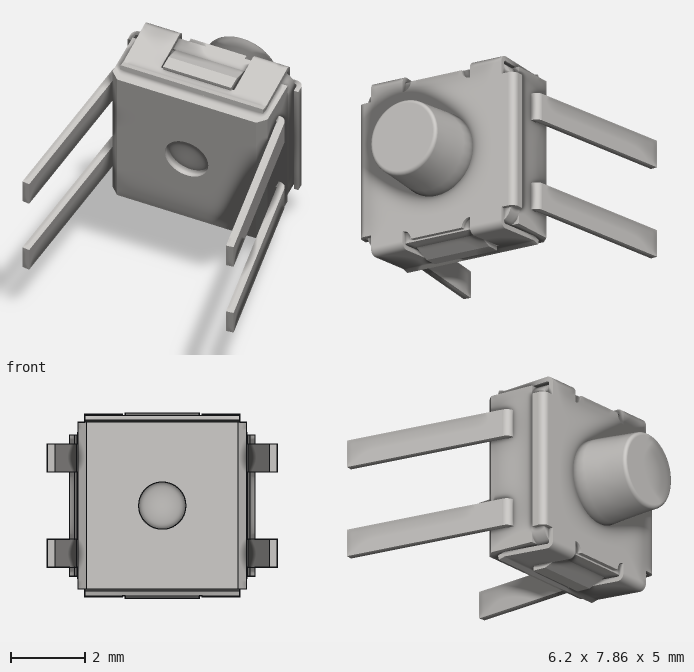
import cadquery as cq
import math


quarter_arc_mid = math.sqrt(0.5)

overall_length = 7.86

button_height = 1.66
button_base_diameter = 2.365
button_top_diameter = 2.115
button_edge_radius = 0.1

sheet_thickness = 0.13
bend_radius = 0.2
bend_inner_radius = bend_radius - sheet_thickness

wing_span = 5.01
wing_width = 3.82
wing_depth = 0.385

clip_span = 4.94
clip_width = 4.19
clip_lean = math.radians(3.5)
lip_flare = math.radians(15)
lip_start = 1.6
lip_bend_radius = 0.14
lip_end = 1.855

window_width = 2.15
window_end = 1.43
window_floor = 2.255
relief_radius = 0.26

collar_gap = 0.015
collar_front = sheet_thickness + collar_gap
collar_size = 4.59
collar_corner_radius = 0.45
body_front = 0.58
body_back = 2.185
body_width = 4.55
body_height = 4.495
body_chamfer = 0.235
recess_diameter = 1.27
recess_depth = 0.25

latch_width = 2.005
latch_ramp_end = 1.085
latch_end = 1.48
latch_top = 2.5

leg_width = 0.76
leg_thickness = 0.21
leg_pitch = 2.56
leg_bend_start = 1.19
leg_bend_end = leg_bend_start + leg_thickness
leg_tip = overall_length - button_height
leg_tip_span = 6.2
leg_root_x = 2.31


def make_block(width, height, front, back):
    """Block centred on the Y axis between two distances behind the cover front."""
    block = cq.Workplane("XY").box(width, back - front, height)
    return block.translate((0, -(front + back) / 2, 0))


def mirrored_pair(solid, plane):
    return solid.union(solid.mirror(plane))


def make_button():
    half_base = button_base_diameter / 2
    stem = (
        cq.Workplane("XZ")
        .circle(half_base)
        .extrude(collar_front)
    )
    cap = (
        cq.Workplane("XY")
        .moveTo(0, 0)
        .lineTo(half_base, 0)
        .lineTo(button_top_diameter / 2, button_height)
        .lineTo(0, button_height)
        .close()
        .revolve(360, (0, 0, 0), (0, 1, 0))
        .faces(">Y")
        .edges()
        .fillet(button_edge_radius)
    )
    return cap.union(stem)


def make_wings():
    """Cover face between the wings and both wings, as one bent strip."""
    outer = make_block(wing_span, wing_width, 0, wing_depth)
    outer = outer.edges("|Z and >Y").fillet(bend_radius)
    inner = make_block(wing_span - 2 * sheet_thickness, wing_width, sheet_thickness, wing_depth)
    inner = inner.edges("|Z and >Y").fillet(bend_inner_radius)
    return outer.cut(inner)


def along(angle):
    """Unit vector (y, z) running backward at an angle that opens outward."""
    return cq.Vector(-math.cos(angle), math.sin(angle))


def outward(angle):
    """Unit vector (y, z) square to along(angle), pointing away from the body."""
    return cq.Vector(math.sin(angle), math.cos(angle))


def make_window():
    """Window of the +Z clip with its two reliefs, as a solid to cut away."""
    half_width = window_width / 2
    relief_inner_x = half_width - relief_radius
    relief_bottom = window_floor - relief_radius
    mid_arc = relief_radius * quarter_arc_mid
    window_top = clip_span / 2
    return (
        cq.Workplane("XZ")
        .moveTo(-half_width, window_top)
        .lineTo(-half_width, relief_bottom)
        .threePointArc((mid_arc - half_width, window_floor - mid_arc), (-relief_inner_x, window_floor))
        .lineTo(relief_inner_x, window_floor)
        .threePointArc((half_width - mid_arc, window_floor - mid_arc), (half_width, relief_bottom))
        .lineTo(half_width, window_top)
        .close()
        .extrude(window_end)
    )


def make_clip():
    """Upper half of the cover face with the clip over the +Z side."""
    bend_centre = cq.Vector(-bend_radius, clip_span / 2 - bend_radius)
    mid_bend = (math.pi / 2 - clip_lean) / 2
    clip_normal = outward(-clip_lean)
    lip_normal = outward(lip_flare)
    mid_lip_normal = outward((lip_flare - clip_lean) / 2)

    clip_start = bend_centre + clip_normal * bend_radius
    clip_length = (lip_start + clip_start.x) / math.cos(clip_lean)
    lip_centre = clip_start + along(-clip_lean) * clip_length + clip_normal * lip_bend_radius
    lip_outer_radius = lip_bend_radius + sheet_thickness

    lip_bend_inner = lip_centre - lip_normal * lip_outer_radius
    lip_length = (lip_end + lip_bend_inner.x) / math.cos(lip_flare)
    lip_inner_tip = lip_bend_inner + along(lip_flare) * lip_length
    lip_outer_tip = lip_inner_tip + lip_normal * sheet_thickness

    def bend_point(radius, normal):
        return (bend_centre + normal * radius).toTuple()[:2]

    def lip_point(radius, normal):
        return (lip_centre - normal * radius).toTuple()[:2]

    mid_bend_normal = outward(mid_bend)
    profile = (
        cq.Workplane("YZ")
        .moveTo(0, 0)
        .lineTo(0, bend_centre.y)
        .threePointArc(bend_point(bend_radius, mid_bend_normal), bend_point(bend_radius, clip_normal))
        .lineTo(*lip_point(lip_bend_radius, clip_normal))
        .threePointArc(
            lip_point(lip_bend_radius, mid_lip_normal), lip_point(lip_bend_radius, lip_normal)
        )
        .lineTo(lip_outer_tip.x, lip_outer_tip.y)
        .lineTo(lip_inner_tip.x, lip_inner_tip.y)
        .lineTo(*lip_point(lip_outer_radius, lip_normal))
        .threePointArc(
            lip_point(lip_outer_radius, mid_lip_normal), lip_point(lip_outer_radius, clip_normal)
        )
        .lineTo(*bend_point(bend_inner_radius, clip_normal))
        .threePointArc(
            bend_point(bend_inner_radius, mid_bend_normal), (-sheet_thickness, bend_centre.y)
        )
        .lineTo(-sheet_thickness, 0)
        .close()
    )
    return profile.extrude(clip_width / 2, both=True).cut(make_window())


def make_body():
    collar = make_block(collar_size, collar_size, collar_front, body_front)
    collar = collar.edges("|Y").fillet(collar_corner_radius)
    base = make_block(body_width, body_height, body_front, body_back)
    base = base.faces("<Y").edges("|Z").chamfer(body_chamfer)
    recess = (
        cq.Workplane("XZ", origin=(0, -body_back, 0))
        .circle(recess_diameter / 2)
        .extrude(-recess_depth)
    )
    return collar.union(base).cut(recess)


def make_latch():
    """Wedge on the +Z side: a ramp from the collar edge, a flat top and a square rear end."""
    return (
        cq.Workplane("YZ")
        .moveTo(-body_front, 0)
        .lineTo(-body_front, collar_size / 2)
        .lineTo(-latch_ramp_end, latch_top)
        .lineTo(-latch_end, latch_top)
        .lineTo(-latch_end, 0)
        .close()
        .extrude(latch_width / 2, both=True)
    )


def make_leg():
    """Upper leg on the +X side: a stub from the body, a bend and a splayed blade."""
    outer_x = leg_root_x + leg_thickness
    tip_x = leg_tip_span / 2
    splay = math.atan((tip_x - outer_x) / (leg_tip - leg_bend_end))
    across_x = leg_thickness * math.cos(splay)
    across_y = leg_thickness * math.sin(splay)
    mid_arc = leg_thickness * quarter_arc_mid
    return (
        cq.Workplane("XY")
        .moveTo(0, -leg_bend_start)
        .lineTo(leg_root_x, -leg_bend_start)
        .threePointArc(
            (leg_root_x + mid_arc, mid_arc - leg_bend_end), (outer_x, -leg_bend_end)
        )
        .lineTo(tip_x, across_y - leg_tip)
        .lineTo(tip_x - across_x, -leg_tip)
        .lineTo(leg_root_x, -leg_bend_end)
        .lineTo(0, -leg_bend_end)
        .close()
        .extrude(leg_width / 2, both=True)
        .translate((0, 0, leg_pitch / 2))
    )


cover = make_wings().union(mirrored_pair(make_clip(), "XY"))
latches = mirrored_pair(make_latch(), "XY")
legs = mirrored_pair(mirrored_pair(make_leg(), "XY"), "YZ")

result = make_body().union(latches).union(legs).union(cover).union(make_button())